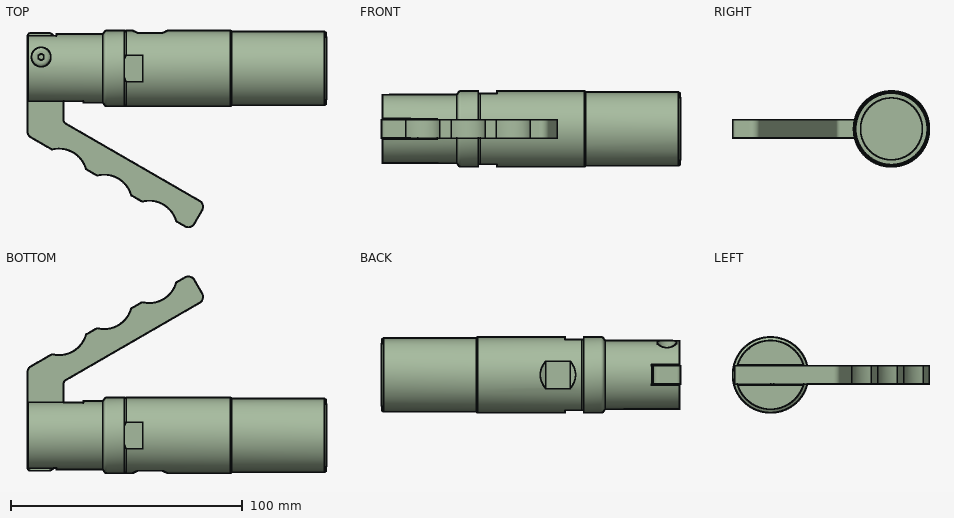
import cadquery as cq
import math

total_length = 129.0
body_radius = 32.8 / 2
nose_radius = 29.7 / 2
rear_radius = 31.9 / 2
end_disc_radius = 26.7 / 2

nose_start = 0.4
collar_start = 32.5
collar_round_start = 33.2
collar_round_radius = 1.4
collar_round_angle = 55.0
collar_end = 41.8
notch_depth = 0.5
notch_length = 0.8
sleeve_end = 87.5
sleeve_chamfer_length = 0.6
end_disc_height = 0.3
rear_chamfer_length = 0.8
rear_chamfer_depth = 0.5

flat_length = 8.0
flat_height = 15.4

relief_start = 45.3
relief_end = 60.5
relief_depth = 1.1
relief_slope_length = 2.3

slot_width = 8.8
slot_mouth_end = 24.1
slot_back_end = 12.5

pivot_x = 6.0
pivot_y = 4.9
screw_recess_diameter = 8.4
screw_top_diameter = 5.0
screw_top_height = 11.2
screw_dome_height = 1.2
socket_sides = 6
socket_width = 2.5
socket_depth = 1.0

lever_thickness = 8.0
head_width = 2 * pivot_x
head_top = 15.4
head_front_radius = 1.5
head_back_radius = 3.0
shank_width = 15.6
shank_step = -1.3
arm_angle = 30.0
arm_length = 81.5
elbow_outer_y = -28.9
elbow_inner_y = -23.2
elbow_outer_radius = 3.0
elbow_inner_radius = 2.0
tip_radius = 3.0

scallop_count = 3
scallop_start = 12.3
scallop_pitch = 22.5
scallop_chord = 16.9
scallop_radius = 12.0


def make_turned_body():
    """Half profile (X, radius) turned about the X axis."""
    round_center_r = body_radius - collar_round_radius
    rim_angle = math.radians(collar_round_angle)
    round_center_x = collar_round_start + collar_round_radius * math.sin(rim_angle)

    def rim_point(angle):
        return (
            round_center_x - collar_round_radius * math.sin(angle),
            round_center_r + collar_round_radius * math.cos(angle),
        )

    rear_face = total_length - end_disc_height
    profile = (
        cq.Workplane("XY")
        .moveTo(nose_start, 0)
        .lineTo(nose_start, nose_radius)
        .lineTo(collar_start, nose_radius)
        .lineTo(*rim_point(rim_angle))
        .threePointArc(rim_point(rim_angle / 2), rim_point(0))
        .lineTo(collar_end, body_radius)
        .lineTo(collar_end, body_radius - notch_depth)
        .lineTo(collar_end + notch_length, body_radius)
        .lineTo(sleeve_end, body_radius)
        .lineTo(sleeve_end + sleeve_chamfer_length, rear_radius)
        .lineTo(rear_face - rear_chamfer_length, rear_radius)
        .lineTo(rear_face, rear_radius - rear_chamfer_depth)
        .lineTo(rear_face, end_disc_radius)
        .lineTo(total_length, end_disc_radius)
        .lineTo(total_length, 0)
        .close()
    )
    return profile.revolve(360, (0, 0, 0), (1, 0, 0))


def make_flat_cutter(side):
    """Block that mills one wrench flat; side is +1 above and -1 below."""
    height = body_radius
    return cq.Workplane("XY").box(flat_length, 2 * body_radius, height).translate(
        (collar_end + flat_length / 2, 0, side * (flat_height + height / 2))
    )


def make_relief_cutter():
    """Trapezoid that mills the sloped-end relief across the +Y side."""
    return (
        cq.Workplane("XY")
        .polyline([
            (relief_start, body_radius),
            (relief_start + relief_slope_length, body_radius - relief_depth),
            (relief_end - relief_slope_length, body_radius - relief_depth),
            (relief_end, body_radius),
        ])
        .close()
        .extrude(body_radius, both=True)
    )


def make_slot_cutter():
    """Slot open at the nose and through from -Y to +Y, with a step at the body axis."""
    return (
        cq.Workplane("XY")
        .polyline([
            (0, -body_radius),
            (slot_mouth_end, -body_radius),
            (slot_mouth_end, 0),
            (slot_back_end, 0),
            (slot_back_end, body_radius),
            (0, body_radius),
        ])
        .close()
        .extrude(slot_width / 2, both=True)
    )


def make_screw_recess_cutter():
    """Round recess whose floor is a domed screw head with a hex socket."""
    recess_radius = screw_recess_diameter / 2
    top_radius = screw_top_diameter / 2
    dome_width = recess_radius - top_radius
    dome_radius = (dome_width**2 + screw_dome_height**2) / (2 * screw_dome_height)
    dome_angle = math.asin(dome_width / dome_radius)

    def dome_point(angle):
        return (
            top_radius + dome_radius * math.sin(angle),
            screw_top_height - dome_radius * (1 - math.cos(angle)),
        )

    recess = (
        cq.Workplane("XZ")
        .moveTo(0, screw_top_height)
        .lineTo(top_radius, screw_top_height)
        .threePointArc(dome_point(dome_angle / 2), dome_point(dome_angle))
        .lineTo(recess_radius, body_radius)
        .lineTo(0, body_radius)
        .close()
        .revolve(360, (0, 0, 0), (0, 1, 0))
    )
    socket_corner_diameter = socket_width / math.cos(math.pi / socket_sides)
    socket = (
        cq.Workplane("XY", origin=(0, 0, screw_top_height - socket_depth))
        .transformed(rotate=(0, 0, 90))
        .polygon(socket_sides, socket_corner_diameter)
        .extrude(body_radius - screw_top_height + socket_depth)
    )
    return recess.union(socket).translate((pivot_x, pivot_y, 0))


def make_housing():
    """Turned body with its flats, relief, lever slot and recessed screw head."""
    housing = make_turned_body()
    for side in (1, -1):
        housing = housing.cut(make_flat_cutter(side))
    housing = housing.cut(make_relief_cutter())
    housing = housing.cut(make_slot_cutter())
    return housing.cut(make_screw_recess_cutter())


def arm_point(along, inward=0.0):
    """Point at a distance along the arm's lower side and square to it into the arm."""
    angle = math.radians(arm_angle)
    return (
        along * math.cos(angle) + inward * math.sin(angle),
        elbow_outer_y - along * math.sin(angle) + inward * math.cos(angle),
    )


def make_lever():
    """Bent lever: a head in the slot, a shank, and a drooping arm with finger scallops."""
    slope = math.radians(arm_angle)
    arm_lower_y = elbow_outer_y - shank_width * math.tan(slope)
    arm_width = (elbow_inner_y - arm_lower_y) * math.cos(slope)
    scallop_depth = scallop_radius - math.sqrt(scallop_radius**2 - (scallop_chord / 2) ** 2)

    head_front = (0, head_top)
    head_back = (head_width, head_top)
    elbow_inner = (shank_width, elbow_inner_y)
    elbow_outer = (0, elbow_outer_y)
    tip_upper = arm_point(arm_length, arm_width)
    tip_lower = arm_point(arm_length)

    outline = cq.Workplane("XY", origin=(0, 0, -lever_thickness / 2)).moveTo(*elbow_outer)
    for index in range(scallop_count):
        start = scallop_start + index * scallop_pitch
        outline = outline.lineTo(*arm_point(start)).threePointArc(
            arm_point(start + scallop_chord / 2, scallop_depth),
            arm_point(start + scallop_chord),
        )
    lever = (
        outline.lineTo(*tip_lower)
        .lineTo(*tip_upper)
        .lineTo(*elbow_inner)
        .lineTo(shank_width, shank_step)
        .lineTo(head_width, shank_step)
        .lineTo(*head_back)
        .lineTo(*head_front)
        .close()
        .extrude(lever_thickness)
    )

    corner_radii = [
        (head_front, head_front_radius),
        (head_back, head_back_radius),
        (elbow_inner, elbow_inner_radius),
        (elbow_outer, elbow_outer_radius),
        (tip_upper, tip_radius),
        (tip_lower, tip_radius),
    ]
    for (x, y), radius in corner_radii:
        corner_edge = cq.selectors.NearestToPointSelector((x, y, 0))
        lever = lever.edges("|Z").edges(corner_edge).fillet(radius)
    return lever


housing = make_housing()
lever = make_lever()

result = cq.Compound.makeCompound([housing.val(), lever.val()])